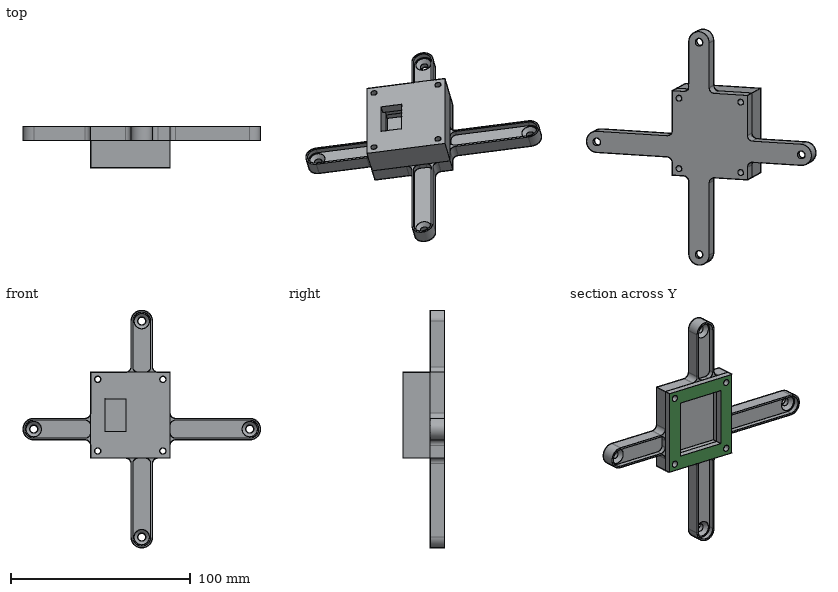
import cadquery as cq

arm_hole_reach = 60.0
arm_width = 12.0
mount_thickness = 8.0
arm_rim = 1.0
recess_depth = 3.0
root_fillet = 3.0

box_width = 44.2
box_height = 47.8
box_center_x = -6.35
box_center_z = 7.75
cover_thickness = 15.11
joint_y = 0.0

box_hole_diameter = 3.3
box_hole_inset = 4.0
arm_hole_diameter = 4.3
countersink_diameter = 8.5

cavity_inset = 8.0
cover_wall = 5.0
window_width = 11.6
window_height = 18.0
shelf_depth = 3.1

arm_radius = arm_width / 2
cover_front_y = joint_y - cover_thickness
box_left_x = box_center_x - box_width / 2
box_right_x = box_center_x + box_width / 2
box_bottom_z = box_center_z - box_height / 2
box_top_z = box_center_z + box_height / 2
cavity_width = box_width - 2 * cavity_inset
cavity_height = box_height - 2 * cavity_inset
cavity_left_x = box_left_x + cavity_inset
cavity_bottom_z = box_bottom_z + cavity_inset
window_bottom_z = box_center_z - window_height / 2

ARMS = [
    (0, box_right_x),
    (-90, box_top_z),
    (180, -box_left_x),
    (90, -box_bottom_z),
]


def block(x0, y0, z0, width, depth, height):
    """Box with its smallest X, Y and Z corner at (x0, y0, z0)."""
    return cq.Workplane("XY").box(width, depth, height, centered=False).translate((x0, y0, z0))


def centered_block(y0, width, depth, height):
    """Box centred on the central block in X and Z, starting at y0."""
    x0 = box_center_x - width / 2
    z0 = box_center_z - height / 2
    return block(x0, y0, z0, width, depth, height)


def plane_at(y):
    """XZ workplane at the given Y; extruding runs toward +Y, so local Y is -Z."""
    return cq.Workplane(cq.Plane(origin=(0, y, 0), xDir=(1, 0, 0), normal=(0, 1, 0)))


def round_ended_strip(start, radius):
    """Outline along X from start to a round end about the arm hole."""
    return (
        plane_at(joint_y)
        .moveTo(start, -radius)
        .lineTo(arm_hole_reach, -radius)
        .threePointArc((arm_hole_reach + radius, 0), (arm_hole_reach, radius))
        .lineTo(start, radius)
        .close()
    )


def arm_solid(root):
    """Arm along +X, flaring into the block face with a concave fillet on each side."""
    arm = round_ended_strip(0, arm_radius).extrude(mount_thickness)
    flare_half_width = arm_radius + root_fillet
    flare = (
        plane_at(joint_y)
        .center(root, 0)
        .rect(2 * root_fillet, 2 * flare_half_width)
        .extrude(mount_thickness)
    )
    scoops = (
        plane_at(joint_y)
        .pushPoints([(root + root_fillet, side * flare_half_width) for side in (-1, 1)])
        .circle(root_fillet)
        .extrude(mount_thickness)
    )
    return arm.union(flare.cut(scoops))


def arm_cutter(root):
    """Front pocket of the arm and the countersunk hole at its end."""
    pocket = round_ended_strip(root, arm_radius - arm_rim).extrude(recess_depth)
    pocket = pocket.edges("|Y and <X").fillet(root_fillet)
    hole = (
        plane_at(joint_y)
        .center(arm_hole_reach, 0)
        .circle(arm_hole_diameter / 2)
        .extrude(mount_thickness)
    )
    sink_depth = (countersink_diameter - arm_hole_diameter) / 2
    sink = cq.Workplane(
        cq.Solid.makeCone(
            countersink_diameter / 2,
            arm_hole_diameter / 2,
            sink_depth,
            pnt=cq.Vector(arm_hole_reach, joint_y + recess_depth, 0),
            dir=cq.Vector(0, 1, 0),
        )
    )
    return pocket.union(hole).union(sink)


def turned(shape, angle):
    """Copy of the shape turned about the Y axis through the cross centre."""
    return shape.rotate((0, 0, 0), (0, 1, 0), angle)


def box_screw_holes(y0, depth):
    """Four corner holes running in +Y from y0."""
    return (
        plane_at(y0)
        .center(box_center_x, -box_center_z)
        .rect(box_width - 2 * box_hole_inset, box_height - 2 * box_hole_inset, forConstruction=True)
        .vertices()
        .circle(box_hole_diameter / 2)
        .extrude(depth)
    )


def make_mount():
    """Base block with four arms, all one plate thick."""
    mount = centered_block(joint_y, box_width, mount_thickness, box_height)
    for angle, root in ARMS:
        mount = mount.union(turned(arm_solid(root), angle))
    for angle, root in ARMS:
        mount = mount.cut(turned(arm_cutter(root), angle))
    mount = mount.cut(centered_block(joint_y, cavity_width, recess_depth, cavity_height))
    return mount.cut(box_screw_holes(joint_y, mount_thickness))


def make_cover():
    """Hollow box in front of the mount, open at the joint and windowed at the front."""
    cover = centered_block(cover_front_y, box_width, cover_thickness, box_height)
    cavity_y = cover_front_y + cover_wall
    cavity = centered_block(cavity_y, cavity_width, cover_thickness - cover_wall, cavity_height)
    shelf = block(
        cavity_left_x, cavity_y, cavity_bottom_z,
        window_width, shelf_depth, window_bottom_z - cavity_bottom_z,
    )
    window = block(
        cavity_left_x, cover_front_y, window_bottom_z,
        window_width, cover_wall, window_height,
    )
    cover = cover.cut(cavity.cut(shelf)).cut(window)
    return cover.cut(box_screw_holes(cover_front_y, cover_thickness))


mount = make_mount()
cover = make_cover()

result = cq.Compound.makeCompound([mount.solids().val(), cover.solids().val()])